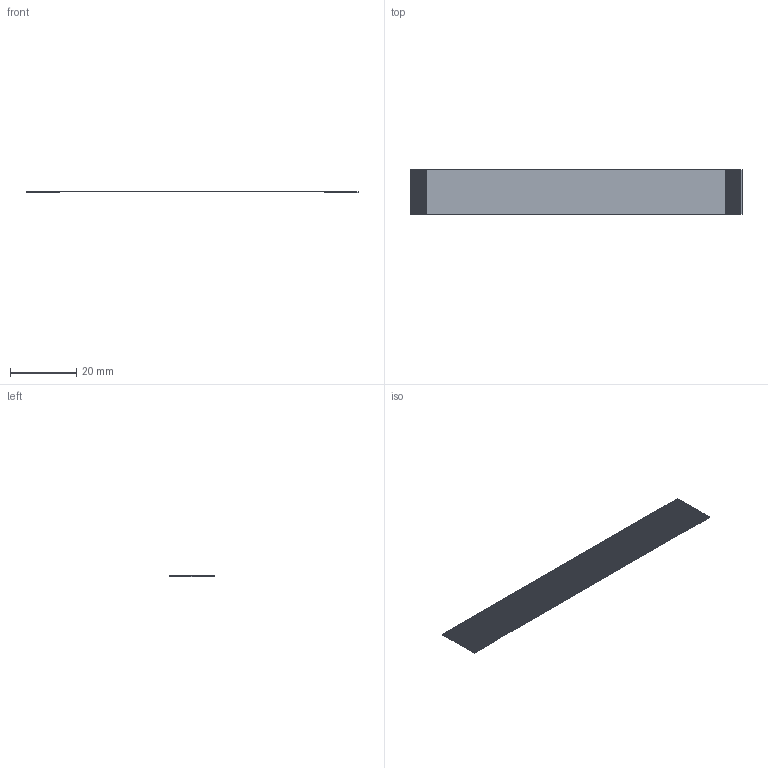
import cadquery as cq

cable_length = 100.0
conductor_pitch = 0.5
conductor_count = 26
conductor_width = 0.3
cable_width = (conductor_count + 1) * conductor_pitch

exposed_length = 5.0
stiffener_length = 10.0

total_thickness = 0.36
base_film_thickness = 0.09
conductor_thickness = 0.03
cover_film_thickness = 0.04
cable_thickness = base_film_thickness + conductor_thickness + cover_film_thickness
stiffener_thickness = total_thickness - cable_thickness

base_film_bottom = stiffener_thickness
conductor_bottom = base_film_bottom + base_film_thickness
cover_film_bottom = conductor_bottom + conductor_thickness


def slab(length, width, thickness, bottom_z, center_x=0.0, center_y=0.0):
    """Rectangular slab centred on (center_x, center_y), resting on bottom_z."""
    block = cq.Workplane("XY").box(length, width, thickness, centered=(True, True, False))
    return block.translate((center_x, center_y, bottom_z))


def make_base_film():
    return slab(cable_length, cable_width, base_film_thickness, base_film_bottom)


def make_cover_film():
    """Film over the conductors, stopping short of both ends to leave them bare."""
    covered_length = cable_length - 2 * exposed_length
    return slab(covered_length, cable_width, cover_film_thickness, cover_film_bottom)


def make_conductors():
    """Parallel conductors over the full cable length, centred across its width."""
    first_y = -(conductor_count - 1) * conductor_pitch / 2
    positions = [(0, first_y + index * conductor_pitch) for index in range(conductor_count)]
    return (
        cq.Workplane("XY", origin=(0, 0, conductor_bottom))
        .pushPoints(positions)
        .rect(cable_length, conductor_width)
        .extrude(conductor_thickness)
    )


def make_stiffener(end_sign):
    """Strip under one end of the cable; end_sign is -1 or 1 along X."""
    center_x = end_sign * (cable_length - stiffener_length) / 2
    return slab(stiffener_length, cable_width, stiffener_thickness, 0, center_x)


result = make_base_film().union(make_conductors()).union(make_cover_film())
for sign in (-1, 1):
    result = result.union(make_stiffener(sign))